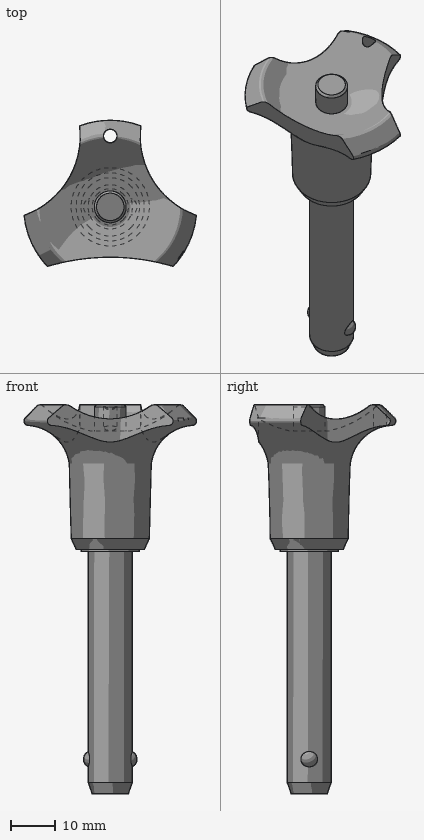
import math

import cadquery as cq


TOP_Z = 87.9

SHANK_RADIUS = 5.0
TIP_RADIUS = 4.1
TIP_LENGTH = 2.6

BALL_RADIUS = 1.95
BALL_HEIGHT = 7.85
BALL_REACH = 6.05

COLLAR_RADIUS = 6.6
COLLAR_Z = 54.7
BARREL_BASE_RADIUS = 7.7
BARREL_BASE_Z = 55.2
BARREL_LOWER_RADIUS = 8.85
BARREL_LOWER_Z = 57.7
FLARE_START_Z = 74.6

RIM_RADIUS = 19.58
FLARE_ROUND = 10.0
FLARE_CENTER_RADIUS = 19.2
BEVEL_ANGLE = math.radians(45)
EDGE_ROUND = 1.0

DISH_SPHERE_RADIUS = 22.0
DISH_EDGE_RADIUS = 15.2
FLOOR_RADIUS = 4.6

BUTTON_RADIUS = 3.6
BUTTON_CHAMFER = 0.5

FRONT_SCALLOP_RADIUS = 50.0
FRONT_SCALLOP_DEPTH_Y = -11.4
SIDE_SCALLOP_RADIUS = 19.0
SIDE_SCALLOP_CENTER = (25.8, 16.0)

LANYARD_HOLE_DIAMETER = 3.0
LANYARD_HOLE_Y = 16.0


def on_circle(center, radius, angle):
    """Point (r, z) on a circle of the handle profile."""
    return (center[0] + radius * math.cos(angle), center[1] + radius * math.sin(angle))


def make_shank():
    return (
        cq.Workplane("XZ")
        .polyline([
            (0, 0),
            (TIP_RADIUS, 0),
            (SHANK_RADIUS, TIP_LENGTH),
            (SHANK_RADIUS, BARREL_LOWER_Z),
            (0, BARREL_LOWER_Z),
        ])
        .close()
        .revolve(360, (0, 0, 0), (0, 1, 0))
    )


def make_balls():
    offset = BALL_REACH - BALL_RADIUS
    centers = [(-offset, 0), (offset, 0)]
    return cq.Workplane("XY", origin=(0, 0, BALL_HEIGHT)).pushPoints(centers).sphere(BALL_RADIUS)


def make_handle_body():
    """Revolve the barrel, flare, rim, bevel, crest and dish as one profile."""
    dish_slope = math.asin(DISH_EDGE_RADIUS / DISH_SPHERE_RADIUS)
    crest_center = (DISH_EDGE_RADIUS + EDGE_ROUND * math.sin(dish_slope), TOP_Z - EDGE_ROUND)
    dish_edge = on_circle(crest_center, EDGE_ROUND, math.pi / 2 + dish_slope)
    dish_center = (0, dish_edge[1] + DISH_SPHERE_RADIUS * math.cos(dish_slope))
    floor_angle = -math.acos(FLOOR_RADIUS / DISH_SPHERE_RADIUS)
    dish_middle_angle = (floor_angle + dish_slope - math.pi / 2) / 2
    floor_edge = on_circle(dish_center, DISH_SPHERE_RADIUS, floor_angle)

    rim_center_radius = RIM_RADIUS - EDGE_ROUND
    bevel_drop = (rim_center_radius - crest_center[0]) / math.tan(BEVEL_ANGLE)
    rim_center = (rim_center_radius, crest_center[1] - bevel_drop)

    flare_shift = FLARE_CENTER_RADIUS - rim_center_radius
    flare_drop = math.sqrt((FLARE_ROUND + EDGE_ROUND) ** 2 - flare_shift ** 2)
    flare_center = (FLARE_CENTER_RADIUS, rim_center[1] - flare_drop)
    flare_start_angle = math.pi - math.asin((FLARE_START_Z - flare_center[1]) / FLARE_ROUND)
    flare_end_angle = math.pi / 2 + math.atan2(flare_shift, flare_drop)
    flare_middle_angle = (flare_start_angle + flare_end_angle) / 2
    flare_end = on_circle(flare_center, FLARE_ROUND, flare_end_angle)

    profile = (
        cq.Workplane("XZ")
        .moveTo(0, COLLAR_Z)
        .lineTo(COLLAR_RADIUS, COLLAR_Z)
        .lineTo(COLLAR_RADIUS, BARREL_BASE_Z)
        .lineTo(BARREL_BASE_RADIUS, BARREL_BASE_Z)
        .lineTo(BARREL_LOWER_RADIUS, BARREL_LOWER_Z)
        .lineTo(*on_circle(flare_center, FLARE_ROUND, flare_start_angle))
        .threePointArc(on_circle(flare_center, FLARE_ROUND, flare_middle_angle), flare_end)
        .threePointArc(on_circle(rim_center, EDGE_ROUND, 0), on_circle(rim_center, EDGE_ROUND, BEVEL_ANGLE))
        .lineTo(*on_circle(crest_center, EDGE_ROUND, BEVEL_ANGLE))
        .threePointArc(on_circle(crest_center, EDGE_ROUND, math.pi / 2), dish_edge)
        .threePointArc(on_circle(dish_center, DISH_SPHERE_RADIUS, dish_middle_angle), floor_edge)
        .lineTo(0, floor_edge[1])
        .close()
    )
    return profile.revolve(360, (0, 0, 0), (0, 1, 0))


def flange_cylinder(center, radius):
    """Vertical cylinder spanning the flange, from the start of the flare to the top."""
    return (
        cq.Workplane("XY", origin=(0, 0, FLARE_START_Z))
        .center(*center)
        .circle(radius)
        .extrude(TOP_Z - FLARE_START_Z)
    )


def cut_scallops(handle):
    side_x, side_y = SIDE_SCALLOP_CENTER
    for x in (-side_x, side_x):
        handle = handle.cut(flange_cylinder((x, side_y), SIDE_SCALLOP_RADIUS))
    front_center = (0, FRONT_SCALLOP_DEPTH_Y - FRONT_SCALLOP_RADIUS)
    return handle.cut(flange_cylinder(front_center, FRONT_SCALLOP_RADIUS))


def cut_lanyard_hole(handle):
    return handle.cut(flange_cylinder((0, LANYARD_HOLE_Y), LANYARD_HOLE_DIAMETER / 2))


def make_button():
    return flange_cylinder((0, 0), BUTTON_RADIUS).faces(">Z").chamfer(BUTTON_CHAMFER)


handle = cut_lanyard_hole(cut_scallops(make_handle_body()))
result = handle.union(make_shank()).union(make_button()).union(make_balls())